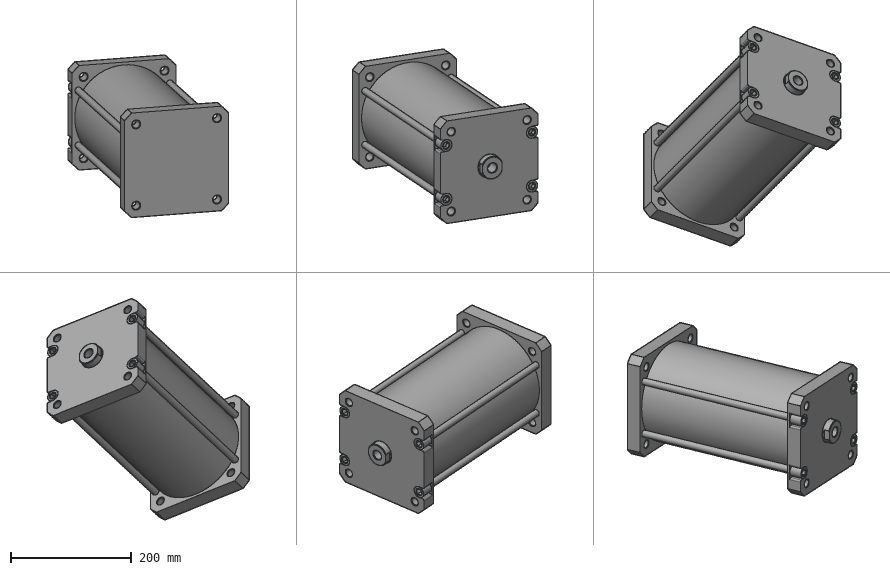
import cadquery as cq
import math

OVERALL_LENGTH = 349.2
FLANGE_SIZE = 180.0
FLANGE_THICKNESS = 25.0
FLANGE_TURNED_DIAMETER = 237.5
ROD_PROTRUSION = 12.2

FRONT_FACE = ROD_PROTRUSION
BARREL_START = FRONT_FACE + FLANGE_THICKNESS
BARREL_END = OVERALL_LENGTH - FLANGE_THICKNESS

BARREL_DIAMETER = 170.5

MOUNT_HOLE_OFFSET = 70.0
MOUNT_HOLE_DIAMETER = 13.3
MOUNT_HOLE_CHAMFER = 1.0

BOLT_Y = 79.0
BOLT_Z = 47.0
BOLT_SHANK_DIAMETER = 12.0
BOLT_HEAD_DIAMETER = 20.3
BOLT_HEAD_LENGTH = 21.0
POCKET_RADIUS = 10.5
POCKET_MOUTH_ROUND = 2.8
HEX_ACROSS_FLATS = 10.5
HEX_DEPTH = 10.0
HEX_MOUTH_DIAMETER = 13.3
HEX_MOUTH_DEPTH = 0.7

ROD_DIAMETER = 39.5
ROD_BORE_CHAMFER = 1.0
ROD_CHAMFER = 1.0
ROD_ACROSS_FLATS = 36.0
ROD_FLAT_LENGTH = 9.8
ROD_HOLE_DIAMETER = 16.5
ROD_HOLE_DEPTH = 30.0
ROD_HOLE_CHAMFER = 1.0
DRILL_POINT_ANGLE = 118.0


def section_at(x):
    """Workplane across the axis at x: local x is +Y, local y is +Z, extrusion runs along +X."""
    return cq.Workplane("YZ", origin=(x, 0, 0))


def cone(x, start_radius, end_radius, height, y=0.0, z=0.0):
    """Cone along +X that starts at x."""
    return cq.Workplane(cq.Solid.makeCone(
        start_radius, end_radius, height, pnt=cq.Vector(x, y, z), dir=cq.Vector(1, 0, 0)))


def bolt_positions():
    """(y, z) of the four tie bolts."""
    return [(y, z) for y in (-BOLT_Y, BOLT_Y) for z in (-BOLT_Z, BOLT_Z)]


def make_flange(x):
    """Square plate with turned corners and four chamfered mounting holes."""
    plate = section_at(x).rect(FLANGE_SIZE, FLANGE_SIZE).extrude(FLANGE_THICKNESS)
    plate = plate.intersect(section_at(x).circle(FLANGE_TURNED_DIAMETER / 2).extrude(FLANGE_THICKNESS))
    holes = (
        section_at(x)
        .rect(2 * MOUNT_HOLE_OFFSET, 2 * MOUNT_HOLE_OFFSET, forConstruction=True)
        .vertices()
        .circle(MOUNT_HOLE_DIAMETER / 2)
        .extrude(FLANGE_THICKNESS)
    )
    hole_rims = plate.cut(holes).edges("%CIRCLE").edges(cq.selectors.RadiusNthSelector(0))
    return hole_rims.chamfer(MOUNT_HOLE_CHAMFER)


def make_head_pocket(side, z):
    """U-shaped pocket, open to the flange side (side is -1 or +1 in Y), with a rounded mouth."""
    center_y = side * BOLT_Y
    edge_y = side * FLANGE_SIZE / 2
    throat_y = edge_y - side * POCKET_MOUTH_ROUND
    mouth_half = POCKET_RADIUS + POCKET_MOUTH_ROUND
    round_mid = POCKET_MOUTH_ROUND * math.sqrt(0.5)
    mid_y = throat_y + side * round_mid
    mid_half = mouth_half - round_mid
    return (
        section_at(FRONT_FACE)
        .moveTo(edge_y, z + mouth_half)
        .threePointArc((mid_y, z + mid_half), (throat_y, z + POCKET_RADIUS))
        .lineTo(center_y, z + POCKET_RADIUS)
        .threePointArc((center_y - side * POCKET_RADIUS, z), (center_y, z - POCKET_RADIUS))
        .lineTo(throat_y, z - POCKET_RADIUS)
        .threePointArc((mid_y, z - mid_half), (edge_y, z - mouth_half))
        .close()
        .extrude(BOLT_HEAD_LENGTH)
    )


def make_front_flange():
    """Flange with the bolt head pockets, the bolt holes and the bore for the piston rod."""
    flange = make_flange(FRONT_FACE)
    for side in (-1, 1):
        for z in (-BOLT_Z, BOLT_Z):
            flange = flange.cut(make_head_pocket(side, z))
    bolt_holes = (
        section_at(FRONT_FACE)
        .pushPoints(bolt_positions())
        .circle(BOLT_SHANK_DIAMETER / 2)
        .extrude(FLANGE_THICKNESS)
    )
    rod_bore = section_at(FRONT_FACE).circle(ROD_DIAMETER / 2).extrude(FLANGE_THICKNESS)
    rod_bore_mouth = cone(
        FRONT_FACE, ROD_DIAMETER / 2 + ROD_BORE_CHAMFER, ROD_DIAMETER / 2, ROD_BORE_CHAMFER)
    return flange.cut(bolt_holes).cut(rod_bore).cut(rod_bore_mouth)


def make_barrel():
    """Plain round barrel between the flanges."""
    return section_at(BARREL_START).circle(BARREL_DIAMETER / 2).extrude(BARREL_END - BARREL_START)


def make_piston_rod():
    """Rod with a drilled tip and two wrench flats that run out at 45 degrees."""
    rod = section_at(0).circle(ROD_DIAMETER / 2).extrude(BARREL_START).faces("<X").chamfer(ROD_CHAMFER)
    flat_y = ROD_ACROSS_FLATS / 2
    outer_y = ROD_DIAMETER / 2
    runout_end = ROD_FLAT_LENGTH + outer_y - flat_y
    flat_cutter = (
        cq.Workplane("XY")
        .polyline([(0, flat_y), (ROD_FLAT_LENGTH, flat_y), (runout_end, outer_y), (0, outer_y)])
        .close()
        .extrude(outer_y, both=True)
    )
    rod = rod.cut(flat_cutter).cut(flat_cutter.mirror("XZ"))

    hole_radius = ROD_HOLE_DIAMETER / 2
    point_height = hole_radius / math.tan(math.radians(DRILL_POINT_ANGLE / 2))
    cylinder_depth = ROD_HOLE_DEPTH - point_height
    hole = section_at(0).circle(hole_radius).extrude(cylinder_depth)
    point = cone(cylinder_depth, hole_radius, 0, point_height)
    mouth = cone(0, hole_radius + ROD_HOLE_CHAMFER, hole_radius, ROD_HOLE_CHAMFER)
    return rod.cut(hole).cut(point).cut(mouth)


def make_tie_bolt(y, z):
    """Socket-head bolt that runs from its pocket to the rear flange."""
    bolt_axis = section_at(FRONT_FACE).center(y, z)
    head = bolt_axis.circle(BOLT_HEAD_DIAMETER / 2).extrude(BOLT_HEAD_LENGTH)
    shank = bolt_axis.circle(BOLT_SHANK_DIAMETER / 2).extrude(BARREL_END - FRONT_FACE)

    hex_corner_diameter = HEX_ACROSS_FLATS / math.cos(math.pi / 6)
    socket = (
        bolt_axis
        .polygon(6, hex_corner_diameter)
        .extrude(HEX_DEPTH)
    )
    socket_mouth = cone(FRONT_FACE, HEX_MOUTH_DIAMETER / 2, HEX_ACROSS_FLATS / 2, HEX_MOUTH_DEPTH, y, z)
    return head.union(shank).cut(socket).cut(socket_mouth)


front_flange = make_front_flange()
rear_flange = make_flange(BARREL_END)
barrel = make_barrel()
piston_rod = make_piston_rod()
tie_bolts = [make_tie_bolt(y, z) for y, z in bolt_positions()]

result = cq.Compound.makeCompound([
    front_flange.val(),
    rear_flange.val(),
    barrel.val(),
    piston_rod.val(),
    *[bolt.val() for bolt in tie_bolts],
])